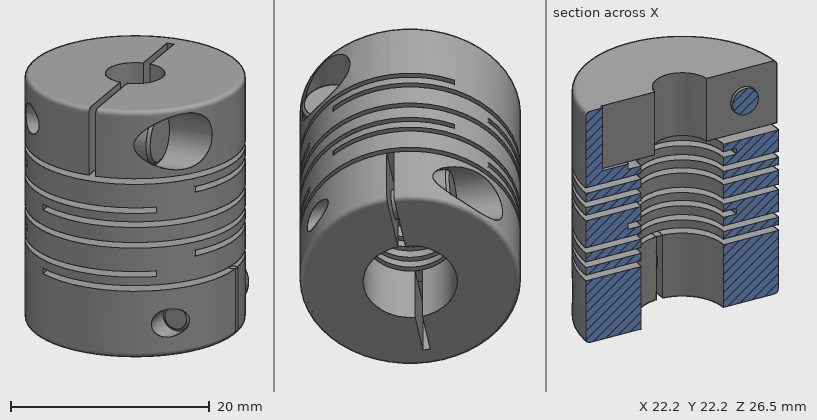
import cadquery as cq

height = 26.5
outer_radius = 11.1
rim_fillet = 0.5
cut_length = 2 * height

upper_bore_radius = 3.0
lower_bore_radius = 4.75

slot_height = 0.6
slot_reach = 6.2
hub_height = 7.18
paired_slot_pitch = 1.5
pair_pitch = 3.13
group_pitch = 6.86

slit_width = 0.75
slit_reach = 9.15

screw_offset = 7.3
screw_height = hub_height / 2
shank_radius = 1.5
head_radius = 2.8
head_length = 3.0
head_top = 5.78
head_seat = head_top - head_length
counterbore_radius = 3.0
screw_length = 9.55
screw_chamfer = 0.32


def make_body():
    body = cq.Workplane("XY").circle(outer_radius).extrude(height)
    body = body.edges().fillet(rim_fillet)
    lower_bore = cq.Workplane("XY").circle(lower_bore_radius).extrude(height - hub_height)
    upper_bore = cq.Workplane("XY").circle(upper_bore_radius).extrude(height)
    return body.cut(lower_bore).cut(upper_bore)


def make_slot(top, open_angle):
    """Saw cut with its upper face at `top`, open on the side at `open_angle` degrees from +X."""
    slot = cq.Workplane("XY").box(cut_length, cut_length, slot_height, centered=(False, True, False))
    slot = slot.translate((-slot_reach, 0, top - slot_height))
    return slot.rotate((0, 0, 0), (0, 0, 1), open_angle)


def cut_flexure_slots(body):
    """Two equal groups, each of two opposed pairs of slots a quarter turn apart."""
    for group in range(2):
        for pair in range(2):
            for side in range(2):
                drop = group * group_pitch + pair * pair_pitch + side * paired_slot_pitch
                open_angle = -90 - 90 * pair + 180 * side
                body = body.cut(make_slot(height - hub_height - drop, open_angle))
    return body


def cylinder_along_x(radius, start, end):
    """Cylinder on the clamp screw axis of the upper hub."""
    disc = cq.Workplane("YZ", origin=(start, -screw_offset, height - screw_height)).circle(radius)
    return disc.extrude(end - start)


def make_clamp_cut():
    """Slit open toward -Y, with the screw hole and its counterbore."""
    slit = cq.Workplane("XY").box(slit_width, cut_length, hub_height, centered=(True, False, False))
    slit = slit.translate((0, slit_reach - cut_length, height - hub_height))
    hole = cylinder_along_x(shank_radius, -cut_length, head_seat)
    counterbore = cylinder_along_x(counterbore_radius, head_seat, cut_length)
    return slit.union(hole).union(counterbore)


def make_screw():
    shank = cylinder_along_x(shank_radius, head_seat - screw_length, head_seat)
    shank = shank.faces("<X").chamfer(screw_chamfer)
    head = cylinder_along_x(head_radius, head_seat, head_top)
    head = head.faces(">X").chamfer(screw_chamfer)
    return shank.union(head)


def move_to_lower_hub(shape):
    """Mirror an upper hub feature to the lower hub and give it a quarter turn."""
    mirrored = shape.mirror("XY", (0, 0, height / 2))
    return mirrored.rotate((0, 0, 0), (0, 0, 1), 90)


clamp_cut = make_clamp_cut()
screw = make_screw()

result = cut_flexure_slots(make_body())
result = result.cut(clamp_cut).cut(move_to_lower_hub(clamp_cut))
result = result.union(screw).union(move_to_lower_hub(screw))